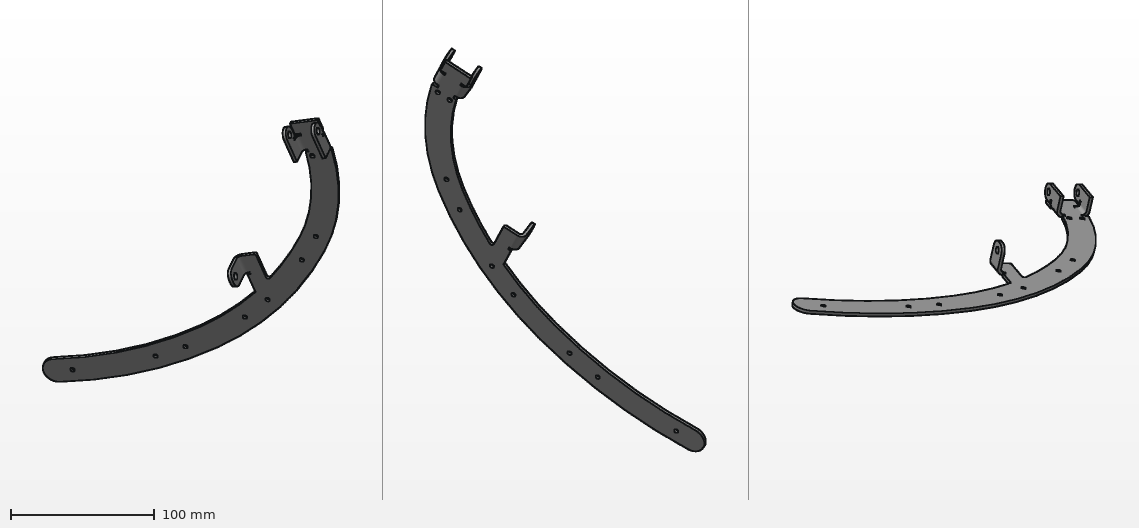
import cadquery as cq
import math

sheet = 2.5
bend_inside = 2.5
bend_outside = bend_inside + sheet

arm_half_width = 10.0
arm_radii = (136.2, 246.3, 314.5)
first_centre = (69.5, 218.5)
arm_angles = (20.0, -21.8, -51.3, -74.25)

arm_hole_diameter = 3.0
arm_holes = ((0, -18.0), (0, -28.8), (1, -37.0), (1, -43.0), (2, -55.2), (2, -59.9), (2, -72.0))

lean = 22.0

pin_hole_diameter = 4.8
relief_width = 1.7
relief_overrun = 0.9

head_origin = (201.2, 250.0)
rivet_spacing = 10.0
rivet_diameter = 3.5
shoulder_v = 4.0
shoulder_radius = 1.5
head_outer_half_width = 12.5
head_plate_half_width = 10.8
head_plate_top = 29.2
ear_bottom = 6.0
ear_top = 31.2
ear_reach = 16.2
ear_radius = 6.0
ear_relief_v = 19.0
ear_relief_reach = 6.8

tab_origin = (145.3, 130.2)
tab_edge = 3.7
tab_width = 16.5
tab_ear_height = 14.5
tab_ear_radius = 6.0
tab_pin_inset = 6.2
tab_reach = 22.0
tab_depth = 28.5
tab_corner = 1.5
tab_root_depth = 8.8
tab_root_radius = 1.7


def polar(centre, radius, degrees):
    angle = math.radians(degrees)
    return (centre[0] + radius * math.cos(angle), centre[1] + radius * math.sin(angle))


def arc_centres():
    """Centres of the tangent arcs: each lies on the line through the joint and the one before."""
    centres = [first_centre]
    for i in range(1, len(arm_radii)):
        centres.append(polar(centres[-1], arm_radii[i - 1] - arm_radii[i], arm_angles[i]))
    return centres


centres = arc_centres()


def front_plane():
    """XZ plane whose extrusions run from the back face (Y = 0) toward -Y."""
    return cq.Workplane("XZ")


def edge_arcs(offset):
    """Middle and end point of each arc of the band's edge at an offset from the centre line."""
    arcs = []
    for i, radius in enumerate(arm_radii):
        middle = (arm_angles[i] + arm_angles[i + 1]) / 2
        edge_radius = radius + offset
        end_point = polar(centres[i], edge_radius, arm_angles[i + 1])
        arcs.append((polar(centres[i], edge_radius, middle), end_point))
    return arcs


def make_arm():
    """Curved band with a round tip at its lower end."""
    w = arm_half_width
    start_outer = polar(centres[0], arm_radii[0] + w, arm_angles[0])
    start_inner = polar(centres[0], arm_radii[0] - w, arm_angles[0])
    outer = edge_arcs(w)
    inner = edge_arcs(-w)
    outline = front_plane().moveTo(*start_outer)
    for middle, end in outer:
        outline = outline.threePointArc(middle, end)
    tip_centre = polar(centres[-1], arm_radii[-1], arm_angles[-1])
    outline = outline.threePointArc(polar(tip_centre, w, arm_angles[-1] - 90), inner[-1][1])
    returning_ends = [start_inner] + [end for _, end in inner[:-1]]
    for (middle, _), end in zip(reversed(inner), reversed(returning_ends)):
        outline = outline.threePointArc(middle, end)
    return outline.close().extrude(sheet)


def block(u, v, t):
    """Box between pairs of u, v and t, where t is the distance forward of the back face."""
    body = cq.Workplane("XY").box(u[1] - u[0], t[1] - t[0], v[1] - v[0], centered=False)
    return body.translate((u[0], -t[1], v[0]))


def bend(v, reach):
    """Quarter bend turning a plate at u > bend_outside into a flange whose outer face is u = 0."""
    diagonal = math.sqrt(0.5)
    near = bend_outside * (1 - diagonal)
    far = bend_outside - bend_inside * diagonal
    return (
        cq.Workplane("XY", origin=(0, 0, v[0]))
        .moveTo(bend_outside, 0)
        .threePointArc((near, -near), (0, -bend_outside))
        .lineTo(0, -reach)
        .lineTo(sheet, -reach)
        .lineTo(sheet, -bend_outside)
        .threePointArc((far, -far), (bend_outside, -sheet))
        .close()
        .extrude(v[1] - v[0])
    )


def pin_cylinder(diameter, t, v):
    """Cylinder along u through an ear at u = 0."""
    return cq.Workplane("YZ").center(-t, v).circle(diameter / 2).extrude(sheet)


def make_head_ear():
    """Ear at u = 0 facing outward along -u, with a rounded, free-standing upper end."""
    pin_t = ear_reach - ear_radius
    pin_v = ear_top - ear_radius
    ear = bend((ear_bottom, ear_relief_v), ear_reach)
    upper = block((0, sheet), (ear_relief_v, pin_v), (pin_t - ear_radius, ear_reach))
    ear = ear.union(upper).union(pin_cylinder(2 * ear_radius, pin_t, pin_v))
    return ear.cut(pin_cylinder(pin_hole_diameter, pin_t, pin_v))


def place(body, origin):
    """Move a body from its own leaning frame to its place on the part."""
    return body.rotate((0, 0, 0), (0, 1, 0), -lean).translate((origin[0], 0, origin[1]))


def make_head():
    """Plate between two facing ears, with relief cuts above and below each bend."""
    neck = head_outer_half_width - bend_outside
    upper_v = ear_relief_v - relief_width / 2
    plate = block((-neck, neck), (0, upper_v), (0, sheet))
    plate = plate.union(
        block((-head_plate_half_width, head_plate_half_width), (upper_v, head_plate_top), (0, sheet))
    )
    ear = make_head_ear().translate((-head_outer_half_width, 0, 0))
    head = plate.union(ear).union(ear.mirror("YZ"))
    slot_end = neck - relief_overrun
    for u in ((-head_outer_half_width, -slot_end), (slot_end, head_outer_half_width)):
        head = head.cut(block(u, (upper_v, upper_v + relief_width), (0, ear_relief_reach)))
        head = head.cut(block(u, (shoulder_v, ear_bottom), (0, sheet)))
    return head


def make_tab():
    """Flat tab with one ear; its lower part overlaps the arm."""
    plate = block((bend_outside, tab_width), (-tab_depth, tab_ear_height), (0, sheet))
    plate = plate.edges("|Y and >X and >Z").fillet(tab_corner)
    plate = plate.union(block((tab_edge, bend_outside), (-tab_depth, 0), (0, sheet)))
    plate = plate.cut(block((0, bend_outside + relief_overrun), (-relief_width, 0), (0, sheet)))
    ear = bend((0, tab_ear_height), tab_reach).edges("|X and <Y").fillet(tab_ear_radius)
    pin = pin_cylinder(pin_hole_diameter, tab_reach - tab_pin_inset, tab_ear_height / 2)
    return plate.union(ear.cut(pin))


def make_shouldered_arm():
    """Arm cut off square to the head, with its outer shoulder corner rounded."""
    size = 4 * arm_half_width
    beyond = place(block((-size, size), (shoulder_v, shoulder_v + size), (0, sheet)), head_origin)
    return make_arm().cut(beyond).edges("|Y and >Z").fillet(shoulder_radius)


def round_tab_root(body):
    """Fillet the sharp corner where the tab's long edge runs into the arm."""
    u_end = polar(tab_origin, tab_width, lean)
    near_root = polar(u_end, tab_root_depth, lean - 90)
    nearest = cq.NearestToPointSelector((near_root[0], -sheet / 2, near_root[1]))
    return body.edges("|Y").edges(nearest).fillet(tab_root_radius)


def drill(body, points, diameter):
    """Round holes through the flat sheet."""
    return body.cut(front_plane().pushPoints(points).circle(diameter / 2).extrude(sheet))


arm = make_shouldered_arm()
result = arm.union(place(make_tab(), tab_origin))
result = round_tab_root(result)
result = result.union(place(make_head(), head_origin))
arm_points = [polar(centres[arc], arm_radii[arc], angle) for arc, angle in arm_holes]
result = drill(result, arm_points, arm_hole_diameter)
rivet_points = [polar(head_origin, side * rivet_spacing / 2, lean) for side in (-1, 1)]
result = drill(result, rivet_points, rivet_diameter)